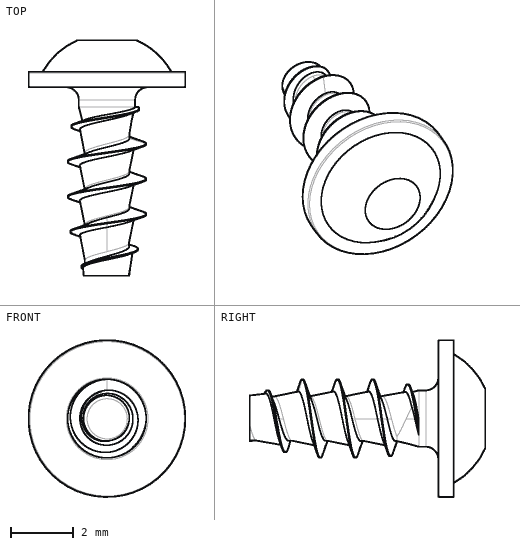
import cadquery as cq
import math


flange_radius = 2.5
flange_thickness = 0.5
flange_edge_fillet = 0.04
dome_height = 1.0
dome_base_radius = 2.05
dome_flat_radius = 0.945

shank_length = 6.0
neck_radius = 0.9
neck_fillet = 0.4
neck_length = 0.62
transition_length = 0.70
core_radius = 0.72
tip_radius = 0.705
dimple_radius = 0.64
dimple_depth = 0.06

pitch = 1.12
first_crest_depth = 0.68
crest_radius = 1.25
crest_width = 0.03
flank_angle = 17.0
lead_in_radius = 0.98
run_out_radius = 0.71
thread_start = -0.25
full_thread_start = 1.0
full_thread_end = 3.25
thread_end = 4.8

relief_height = 0.165
root_radius = 0.70
buried_radius = 0.60
turn_gap = 0.004
points_per_turn = 24


def revolve_about_y(profile):
    return profile.close().revolve(360, (0, 0, 0), (0, 1, 0))


def make_head():
    flange = cq.Workplane("XZ").circle(flange_radius).extrude(-flange_thickness)
    flange = flange.edges().fillet(flange_edge_fillet)

    centre_drop = (dome_base_radius**2 - dome_flat_radius**2 - dome_height**2) / (2 * dome_height)
    sphere_radius = math.hypot(dome_base_radius, centre_drop)
    mid_height = dome_height / 2
    mid_radius = math.sqrt(sphere_radius**2 - (centre_drop + mid_height) ** 2)
    dome = revolve_about_y(
        cq.Workplane("XY", origin=(0, flange_thickness, 0))
        .lineTo(dome_base_radius, 0)
        .threePointArc((mid_radius, mid_height), (dome_flat_radius, dome_height))
        .lineTo(0, dome_height)
    )
    return flange.union(dome)


def make_core():
    arc_offset = neck_fillet * (1 - math.sqrt(0.5))
    return revolve_about_y(
        cq.Workplane("XY")
        .lineTo(neck_radius + neck_fillet, 0)
        .threePointArc((neck_radius + arc_offset, -arc_offset), (neck_radius, -neck_fillet))
        .lineTo(neck_radius, -neck_length)
        .lineTo(core_radius, -neck_length - transition_length)
        .lineTo(tip_radius, -shank_length)
        .lineTo(dimple_radius, -shank_length)
        .lineTo(0, -shank_length + dimple_depth)
    )


def thread_profile(crest):
    """Section of the thread and the relief behind it, as (radius, distance towards the tip)."""
    flank_slope = math.tan(math.radians(flank_angle))
    height = crest - root_radius
    missing = 1 - height / (crest_radius - root_radius)
    relief_radius = root_radius + relief_height * (1 - missing**2)
    head_side = -crest_width / 2 - height * flank_slope
    tip_side = crest_width / 2 + (crest - relief_radius) * flank_slope
    full_head_side = -crest_width / 2 - (crest_radius - root_radius) * flank_slope
    relief_end = pitch + full_head_side - turn_gap
    return [
        (buried_radius, head_side),
        (root_radius, head_side),
        (crest, -crest_width / 2),
        (crest, crest_width / 2),
        (relief_radius, tip_side),
        (root_radius, relief_end),
        (buried_radius, relief_end),
    ]


def section_points(turn, crest):
    """Points of the thread section standing at the given turn of the helix."""
    angle = 2 * math.pi * turn
    crest_depth = first_crest_depth + pitch * turn
    return [
        cq.Vector(radius * math.cos(angle), -crest_depth - shift, radius * math.sin(angle))
        for radius, shift in thread_profile(crest)
    ]


def thread_stretch(start, end, start_crest, end_crest):
    """Solid stretch of thread whose crest radius changes evenly from start to end."""
    steps = math.ceil((end - start) * points_per_turn)
    sections = []
    for step in range(steps + 1):
        share = step / steps
        turn = start + share * (end - start)
        crest = start_crest + share * (end_crest - start_crest)
        sections.append(section_points(turn, crest))

    helices = [cq.Edge.makeSpline(list(points)) for points in zip(*sections)]
    faces = [
        cq.Face.makeRuledSurface(helix, following)
        for helix, following in zip(helices, helices[1:] + helices[:1])
    ]
    for end_section in (sections[0], sections[-1]):
        faces.append(cq.Face.makeFromWires(cq.Wire.makePolygon(end_section, close=True)))
    return cq.Workplane(obj=cq.Solid.makeSolid(cq.Shell.makeShell(faces)).fix())


def make_thread():
    lead_in = thread_stretch(thread_start, full_thread_start, lead_in_radius, crest_radius)
    full_thread = thread_stretch(full_thread_start, full_thread_end, crest_radius, crest_radius)
    run_out = thread_stretch(full_thread_end, thread_end, crest_radius, run_out_radius)

    threaded_length = shank_length - neck_length
    envelope = (
        cq.Workplane("XZ", origin=(0, -neck_length, 0))
        .circle(flange_radius)
        .circle(dimple_radius)
        .extrude(threaded_length)
    )
    return [stretch.intersect(envelope) for stretch in (lead_in, full_thread, run_out)]


result = make_head().union(make_core())
for thread_part in make_thread():
    result = result.union(thread_part)